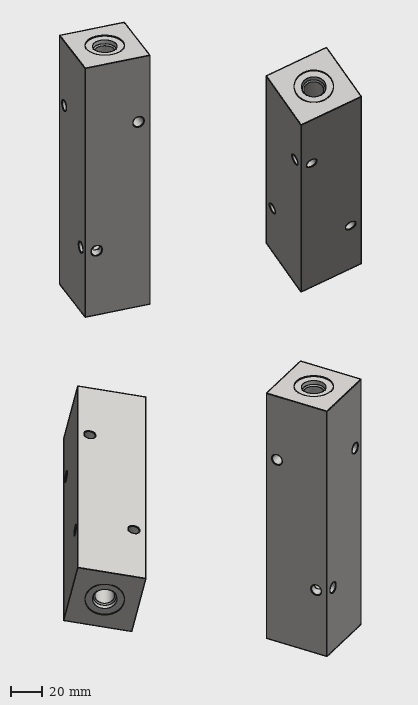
import cadquery as cq
import math

side = 44.45
length = 184.15

edge_chamfer = 0.254

bore_diameter = 12.7
seat_diameter = 15.6
seat_depth = 2.5
seat_angle = 12
spotface_diameter = 25.0
spotface_depth = 0.8

cross_hole_diameter = 7.1
cross_hole_chamfer = 0.4
cross_hole_offset = 14.2875
cross_hole_height = 44.45


def port_cutter():
    """Half of the bore along +Z, with the port at the top end."""
    top = length / 2
    bore_radius = bore_diameter / 2
    spotface_radius = spotface_diameter / 2
    seat_radius = seat_diameter / 2
    seat_end_radius = seat_radius - seat_depth * math.tan(math.radians(seat_angle))
    spotface_floor = top - spotface_depth
    seat_end = spotface_floor - seat_depth
    lead_in = seat_end_radius - bore_radius
    profile = [
        (0, 0),
        (bore_radius, 0),
        (bore_radius, seat_end - lead_in),
        (seat_end_radius, seat_end),
        (seat_radius, spotface_floor),
        (spotface_radius, spotface_floor),
        (spotface_radius, top),
        (0, top),
    ]
    return cq.Workplane("XZ").polyline(profile).close().revolve(360, (0, 0, 0), (0, 1, 0))


def cross_hole_cutter(offset, height):
    """Hole along Y with a chamfered mouth at both ends."""
    radius = cross_hole_diameter / 2
    mouth_radius = radius + cross_hole_chamfer
    half = side / 2
    profile = [
        (0, -half),
        (mouth_radius, -half),
        (radius, -half + cross_hole_chamfer),
        (radius, half - cross_hole_chamfer),
        (mouth_radius, half),
        (0, half),
    ]
    cutter = cq.Workplane("XY").polyline(profile).close().revolve(360, (0, 0, 0), (0, 1, 0))
    return cutter.translate((offset, 0, height))


result = cq.Workplane("XY").box(side, side, length).edges().chamfer(edge_chamfer)
port = port_cutter()
result = result.cut(port).cut(port.mirror("XY"))

for end in (1, -1):
    along_y = cross_hole_cutter(-end * cross_hole_offset, end * cross_hole_height)
    along_x = along_y.rotate((0, 0, 0), (0, 0, 1), -90)
    result = result.cut(along_y).cut(along_x)